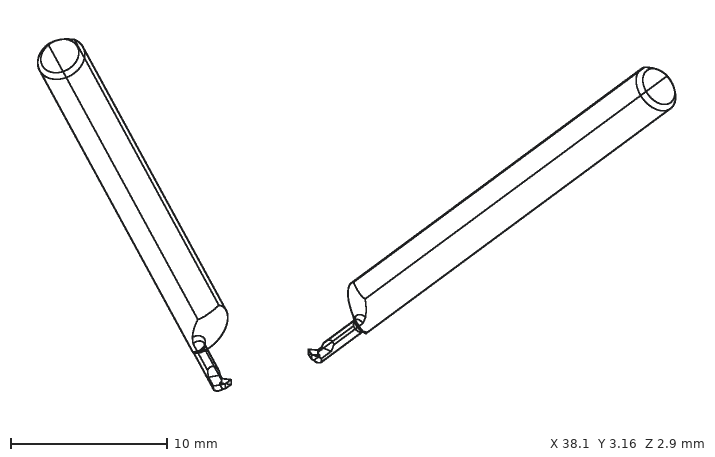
import cadquery as cq

length = 38.1
shank_radius = 1.58
flat_height = 1.315
end_chamfer = 0.3

neck_axis_y = -1.22
neck_radius = 0.45
neck_side_y = -0.8

root_start_x = 33.25
root_end_x = 33.65
root_rise = 0.15

tip_face_x = 37.07
tooth_start_x = 37.45
tooth_peak_x = 37.75
tooth_peak_y = -0.25
tooth_depth = 0.4


def make_shank():
    """Round bar with a chamfered rear end and a flat along its top."""
    bar = cq.Workplane("YZ").circle(shank_radius).extrude(length)
    bar = bar.faces("<X").chamfer(end_chamfer)
    above_flat = cq.Workplane("XY").workplane(offset=flat_height).box(
        length, 2 * shank_radius, shank_radius, centered=(False, True, False)
    )
    return bar.cut(above_flat)


def make_neck_envelope():
    """Revolved limit of the bar: 45 degree shoulder, root cone and neck."""
    outer_radius = 2 * shank_radius
    root_radius = neck_radius + root_rise
    shoulder_x = root_start_x - (outer_radius - root_radius)
    return (
        cq.Workplane("XY")
        .moveTo(0, neck_axis_y)
        .lineTo(0, neck_axis_y + outer_radius)
        .lineTo(shoulder_x, neck_axis_y + outer_radius)
        .lineTo(root_start_x, neck_axis_y + root_radius)
        .lineTo(root_end_x, neck_axis_y + neck_radius)
        .lineTo(length, neck_axis_y + neck_radius)
        .lineTo(length, neck_axis_y)
        .close()
        .revolve(360, (0, neck_axis_y, 0), (1, neck_axis_y, 0))
    )


def make_side_cut():
    """Trims the +Y side of the neck to a flat, from the root cone to the tip."""
    return cq.Workplane("XY").box(
        length - root_end_x, shank_radius, 2 * shank_radius, centered=(False, False, True)
    ).translate((root_end_x, neck_side_y, 0))


def make_tooth():
    """Pointed cutting tooth standing out from the side of the neck."""
    return (
        cq.Workplane("XY")
        .moveTo(tooth_start_x, neck_axis_y)
        .lineTo(tooth_start_x, neck_side_y)
        .lineTo(tooth_peak_x, tooth_peak_y)
        .lineTo(length, neck_side_y)
        .lineTo(length, neck_axis_y)
        .close()
        .extrude(-tooth_depth)
    )


def make_tip_cut():
    """Removes the upper half of the tip, leaving a 45 degree ramp behind it."""
    cut_height = 2 * neck_radius
    return (
        cq.Workplane("XZ")
        .moveTo(tip_face_x, 0)
        .lineTo(length, 0)
        .lineTo(length, cut_height)
        .lineTo(tip_face_x - cut_height, cut_height)
        .close()
        .extrude(shank_radius, both=True)
    )


bar = make_shank().intersect(make_neck_envelope())
bar = bar.cut(make_side_cut()).cut(make_tip_cut())
result = bar.union(make_tooth())